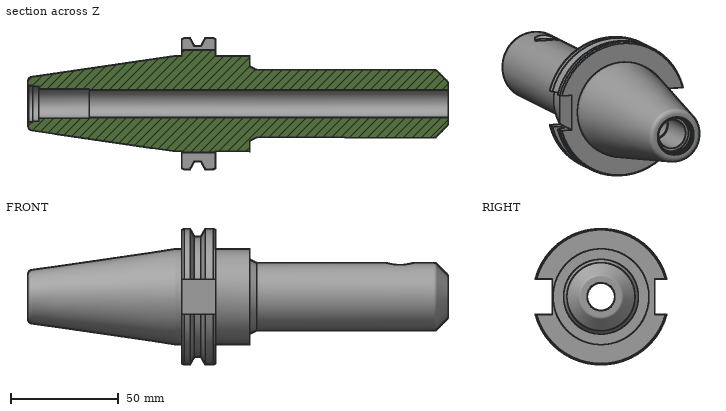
import cadquery as cq

length = 195.2

taper_ratio = 7 / 24
gauge_radius = 44.5 / 2
gauge_x = 68.5
small_radius = gauge_radius - taper_ratio / 2 * gauge_x
small_end_round = 2.3

flange_radius = 63.3 / 2
flange_x = 71.5
flange_width = 15.8
flange_edge_run = 1.2
flange_edge_drop = 0.5
groove_floor_radius = 28.1
groove_floor_width = 3.1
groove_side_run = 2.0
groove_x = 78.9

slot_width = 16.4
slot_floor_front = 22.6
slot_floor_back = 25.0

collar_end_x = 103.0
nose_radius = 31.6 / 2
neck_rise = 1.5
neck_run = 3.1
nose_chamfer = 5.9
nose_edge_round = 1.5

bore_diameter = 12.7
tap_diameter = 13.5
tap_end_x = 28.5
counterbore_diameter = 16.2
counterbore_depth = 5.0
mouth_diameter = 16.8
mouth_depth = 2.3
mouth_chamfer = 0.5

screw_x = 172.8
screw_diameter = 10.0
screw_mouth_diameter = 12.7


def turned_cylinder(diameter, end_x):
    return cq.Workplane("YZ").circle(diameter / 2).extrude(end_x)


def make_shank():
    profile = (
        cq.Workplane("XY")
        .lineTo(0, small_radius)
        .lineTo(gauge_x, gauge_radius)
        .lineTo(collar_end_x, gauge_radius)
        .lineTo(collar_end_x, nose_radius + neck_rise)
        .lineTo(collar_end_x + neck_run, nose_radius)
        .lineTo(length - nose_chamfer, nose_radius)
        .lineTo(length, nose_radius - nose_chamfer)
        .lineTo(length, 0)
        .close()
    )
    shank = profile.revolve(360, (0, 0, 0), (1, 0, 0))
    shank = shank.faces("<X").edges().fillet(small_end_round)
    nose_edges = cq.selectors.BoxSelector(
        (length - nose_chamfer - nose_edge_round, -length, -length),
        (length + nose_edge_round, length, length),
    )
    return shank.edges("%CIRCLE").edges(nose_edges).fillet(nose_edge_round)


def make_flange():
    flange_end_x = flange_x + flange_width
    face_radius = flange_radius - flange_edge_drop
    disc = (
        cq.Workplane("XY")
        .moveTo(flange_x, 0)
        .lineTo(flange_x, face_radius)
        .lineTo(flange_x + flange_edge_run, flange_radius)
        .lineTo(flange_end_x - flange_edge_run, flange_radius)
        .lineTo(flange_end_x, face_radius)
        .lineTo(flange_end_x, 0)
        .close()
        .revolve(360, (0, 0, 0), (1, 0, 0))
    )
    half_floor = groove_floor_width / 2
    half_mouth = half_floor + groove_side_run
    groove = (
        cq.Workplane("XY")
        .moveTo(groove_x - half_floor, groove_floor_radius)
        .lineTo(groove_x + half_floor, groove_floor_radius)
        .lineTo(groove_x + half_mouth, flange_radius)
        .lineTo(groove_x - half_mouth, flange_radius)
        .close()
        .revolve(360, (0, 0, 0), (1, 0, 0))
    )
    return disc.cut(groove)


def make_slot(side, floor):
    """Cutter for the drive slot on the +Y (side = 1) or -Y (side = -1) flank."""
    return cq.Workplane("XY").box(flange_width, flange_radius, slot_width).translate(
        (flange_x + flange_width / 2, side * (floor + flange_radius / 2), 0)
    )


def make_bore():
    bore = turned_cylinder(bore_diameter, length)
    bore = bore.union(turned_cylinder(tap_diameter, tap_end_x))
    bore = bore.union(turned_cylinder(counterbore_diameter, counterbore_depth))
    bore = bore.union(turned_cylinder(mouth_diameter, mouth_depth))
    mouth = (
        cq.Workplane("YZ")
        .circle(mouth_diameter / 2 + mouth_chamfer)
        .workplane(offset=mouth_chamfer)
        .circle(mouth_diameter / 2)
        .loft()
    )
    return bore.union(mouth)


def make_screw_hole():
    hole = cq.Workplane("XY").center(screw_x, 0).circle(screw_diameter / 2).extrude(nose_radius)
    sink_depth = (screw_mouth_diameter - screw_diameter) / 2
    sink = (
        cq.Workplane("XY", origin=(screw_x, 0, nose_radius - sink_depth))
        .circle(screw_diameter / 2)
        .workplane(offset=sink_depth)
        .circle(screw_mouth_diameter / 2)
        .loft()
    )
    return hole.union(sink)


flange = make_flange()
flange = flange.cut(make_slot(-1, slot_floor_front))
flange = flange.cut(make_slot(1, slot_floor_back))

result = make_shank().union(flange).cut(make_bore()).cut(make_screw_hole())